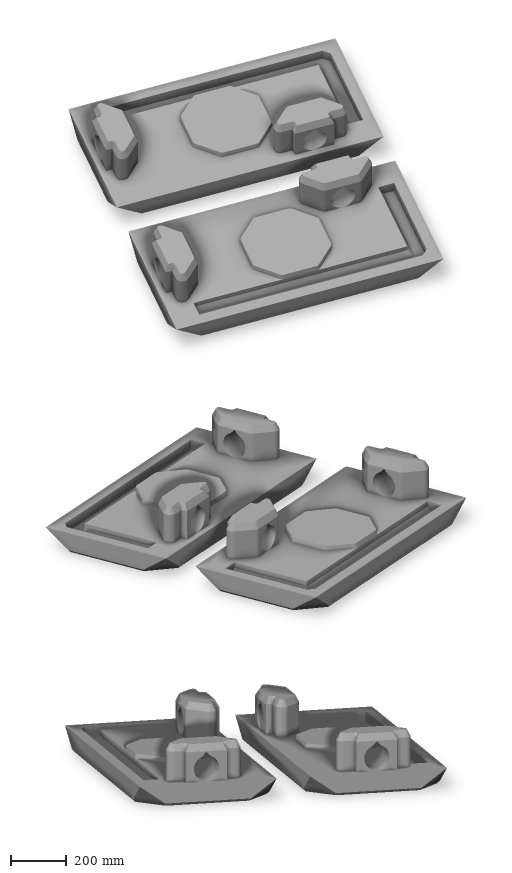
import cadquery as cq
import math

overall_width = 1138.0
plate_length = 1014.0
plate_width = plate_length / 2
plate_height = 77.0
plate_bottom_chamfer = 10.0

groove_inset = 41.0
groove_depth = 41.0
groove_slope = 20.0
groove_corner_cut = 23.0

pad_width = 305.0
pad_corner_cut = 82.0
pad_edge_radius = 23.0
pad_height = 18.0
pad_draft = 12.0

lug_height = 137.0
lug_top_chamfer_height = 26.0
lug_top_chamfer_width = lug_top_chamfer_height / 2
lug_width = 273.0
lug_end_depth = 35.0
lug_corner_cut = 66.0
lug_edge_radius = 22.0
tongue_width = 150.0
tongue_depth = 24.0
lug_margin = 24.0

bore_radius = 47.0
bore_height = 48.0
bore_peak = 60.0

plateau_width = pad_width
middle_inset = (plate_width - plateau_width) / 2
plateau_length = plate_length - 2 * middle_inset


def plate_blank():
    """Rectangular plate whose four lower corners are cut off from the top corners down."""
    blank = (
        cq.Workplane("XY")
        .box(plate_width, plate_length, plate_height, centered=(True, True, False))
        .faces("<Z")
        .chamfer(plate_bottom_chamfer)
    )
    for side_x in (-1, 1):
        for side_y in (-1, 1):
            direction = math.degrees(math.atan2(side_y, side_x))
            corner = (side_x * plate_width / 2, side_y * plate_length / 2, 0)
            blank = blank.cut(corner_cutter().rotate((0, 0, 0), (0, 0, 1), direction).translate(corner))
    return blank


def corner_cutter():
    """Prism along Y whose 45 degree face falls from the plate's top edge at x = 0 towards -X."""
    return (
        cq.Workplane("XZ")
        .moveTo(0, plate_height)
        .lineTo(-plate_height, 0)
        .lineTo(plate_height, 0)
        .close()
        .extrude(2 * plate_height, both=True)
    )


def groove():
    """L-shaped groove along the -X and +Y sides, with a 45 degree slope at its inner foot."""
    left = groove_inset - plate_width / 2
    right = plateau_width / 2
    front = -plateau_length / 2
    back = plate_length / 2 - groove_inset
    floor = cq.Workplane("XY", origin=(0, 0, plate_height - groove_depth))
    outer = (
        floor.moveTo(left, front)
        .lineTo(right, front)
        .lineTo(right, back)
        .lineTo(left + groove_corner_cut, back)
        .lineTo(left, back - groove_corner_cut)
        .close()
        .extrude(groove_depth)
    )
    plateau = floor.rect(plateau_width, plateau_length).extrude(groove_depth)
    foot_width = plateau_width + 2 * groove_slope
    foot_length = plateau_length + 2 * groove_slope
    foot = floor.rect(foot_width, foot_length).extrude(groove_slope, taper=45)
    return outer.cut(plateau).cut(foot)


def pad():
    """Octagonal pad with drafted sides in the middle of the top face."""
    blank = (
        cq.Workplane("XY", origin=(0, 0, plate_height))
        .rect(pad_width, pad_width)
        .extrude(pad_height)
        .edges("|Z")
        .chamfer(pad_corner_cut)
        .edges("|Z")
        .fillet(pad_edge_radius)
    )
    return blank.faces("<Z").wires().toPending().extrude(pad_height, combine=False, taper=pad_draft)


def lug():
    """Lug with its tongue's face at y = 0, facing -Y, and its foot at z = 0."""
    half_width = lug_width / 2
    diagonal_y = tongue_depth + lug_end_depth
    back_y = diagonal_y + lug_corner_cut
    back_half = half_width - lug_corner_cut
    shank_height = lug_height - lug_top_chamfer_height
    body = (
        cq.Workplane("XY")
        .moveTo(-half_width, tongue_depth)
        .lineTo(half_width, tongue_depth)
        .lineTo(half_width, diagonal_y)
        .lineTo(back_half, back_y)
        .lineTo(-back_half, back_y)
        .lineTo(-half_width, diagonal_y)
        .close()
        .extrude(shank_height)
        .edges("|Z")
        .fillet(lug_edge_radius)
    )
    tongue = cq.Workplane("XY").box(tongue_width, back_y / 2, shank_height, centered=(True, False, False))
    top_taper = math.degrees(math.atan(lug_top_chamfer_width / lug_top_chamfer_height))
    shank = body.union(tongue).clean()
    whole = shank.faces(">Z").wires().toPending().extrude(lug_top_chamfer_height, taper=top_taper)
    return whole.cut(lug_bore(back_y))


def lug_bore(length):
    """Bore along Y: a circle with a 45 degree peak on top."""
    sketch_plane = cq.Workplane("XZ", origin=(0, 0, bore_height))
    circle = sketch_plane.circle(bore_radius).extrude(-length)
    peak_half = bore_radius / 2
    peak = (
        sketch_plane.moveTo(0, bore_peak)
        .lineTo(-peak_half, bore_peak - peak_half)
        .lineTo(peak_half, bore_peak - peak_half)
        .close()
        .extrude(-length)
    )
    return circle.union(peak)


def tray():
    """Tray centred on the Z axis: plate with its groove at -X and +Y, pad and two lugs."""
    front_lug = lug().translate((0, lug_margin - plate_length / 2, plate_height))
    side_lug = lug().rotate((0, 0, 0), (0, 0, 1), 90)
    side_lug = side_lug.translate((plate_width / 2 - lug_margin, plate_length / 4, plate_height))
    return plate_blank().cut(groove()).union(pad()).union(front_lug).union(side_lug)


tray_offset = (overall_width - plate_width) / 2
trays = []
for side in (-1, 1):
    single_tray = tray()
    if side == 1:
        single_tray = single_tray.mirror("YZ")
    trays.append(single_tray.translate((side * tray_offset, 0, 0)))

left_tray, right_tray = trays
result = cq.Compound.makeCompound([*left_tray.solids().vals(), *right_tray.solids().vals()])